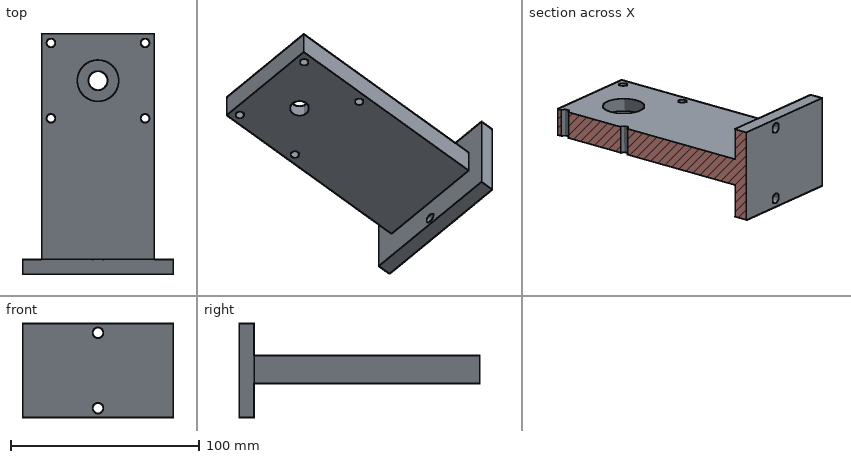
import cadquery as cq

plate_width = 80.0
plate_height = 50.0
plate_thickness = 8.0
plate_hole_diameter = 5.5
plate_hole_spacing = 40.0

overall_length = 128.0
arm_width = 60.0
arm_thickness = 15.0
arm_center_height = 0.5

arm_hole_diameter = 4.5
arm_hole_inset = 5.0
arm_hole_row_spacing = 40.0

bore_diameter = 10.0
counterbore_diameter = 22.0
counterbore_depth = 7.0

arm_top = arm_center_height + arm_thickness / 2
arm_length = overall_length - plate_thickness
far_row_y = overall_length - arm_hole_inset
near_row_y = far_row_y - arm_hole_row_spacing
bore_y = (far_row_y + near_row_y) / 2
arm_hole_x = arm_width / 2 - arm_hole_inset


def make_plate():
    """Upright plate with one hole above and one below the arm."""
    plate = cq.Workplane("XY").box(
        plate_width, plate_thickness, plate_height, centered=(True, False, True)
    )
    hole_z = plate_hole_spacing / 2
    return (
        plate.faces("<Y")
        .workplane(origin=(0, 0, 0))
        .pushPoints([(0, hole_z), (0, -hole_z)])
        .hole(plate_hole_diameter)
    )


def make_arm():
    """Flat arm with four corner holes and a hole counterbored from the top."""
    arm = (
        cq.Workplane("XY")
        .box(arm_width, arm_length, arm_thickness, centered=(True, False, True))
        .translate((0, plate_thickness, arm_center_height))
    )
    corner_holes = [(x, y) for x in (-arm_hole_x, arm_hole_x) for y in (near_row_y, far_row_y)]
    top = cq.Workplane("XY", origin=(0, 0, arm_top))
    holes = top.pushPoints(corner_holes).circle(arm_hole_diameter / 2).extrude(-arm_thickness)
    bore = top.center(0, bore_y).circle(bore_diameter / 2).extrude(-arm_thickness)
    counterbore = top.center(0, bore_y).circle(counterbore_diameter / 2).extrude(-counterbore_depth)
    return arm.cut(holes).cut(bore).cut(counterbore)


result = make_plate().union(make_arm())